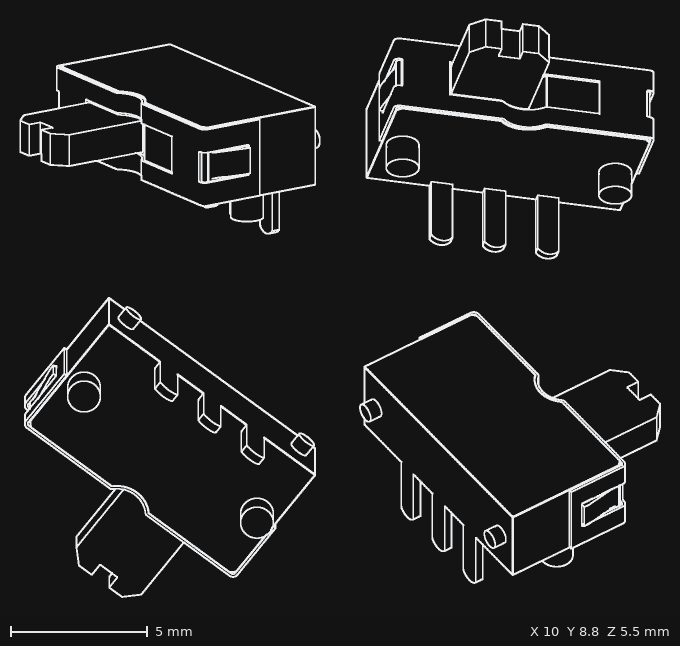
import cadquery as cq


housing_width = 9.56
housing_depth = 4.92
housing_height = 3
housing_corner_chamfer = 0.18
housing_edge_chamfer = 0.02

sheet = 0.11
cover_length = 2.5
cover_height = 2.92
cover_corner_radius = 0.2
cover_bend_radius = 0.12
cover_half_width = housing_width / 2 + sheet
cover_front = housing_depth + sheet

recess_depth = 0.37
recess_radius = 1.05
recess_center_y = recess_depth - cover_front - recess_radius

slot_length = 5.64
slot_height = 1.42

lever_width = 3
lever_thickness = 1.2
lever_tip = 8.32
lever_root = 4.18
lever_x = -1.25
lever_chamfer = 0.5
lever_notch_width = 0.8
lever_notch_depth = 0.5

overall_width = 10
wedge_back = 3.04
wedge_flat = 0.19
wedge_length = 1.52
wedge_height = 0.98
wedge_blend_radius = 0.7
window_gap = 0.03
window_height = 1.16
window_inner_x = 4.6
window_corner_radius = 0.06

pin_x = 4
bottom_pin_diameter = 1.2
bottom_pin_length = 1
bottom_pin_y = -2.5
back_pin_diameter = 0.7
back_pin_length = 0.48
terminal_pitch = 2
terminal_width = 0.8
terminal_thickness = 0.32
terminal_length = 2.5
terminal_tip_height = 0.2


def box(x_min, x_max, y_min, y_max, height):
    """Box between the given X and Y limits, centered on z = 0."""
    return (
        cq.Workplane("XY")
        .box(x_max - x_min, y_max - y_min, height)
        .translate(((x_min + x_max) / 2, (y_min + y_max) / 2, 0))
    )


def recessed_block(half_width, front, back, height, radius):
    """Block with the round recess cut into its front face."""
    block = box(-half_width, half_width, -front, -back, height)
    recess = cq.Workplane("XY").center(0, recess_center_y).circle(radius).extrude(height, both=True)
    return block.cut(recess)


def front_corners(block):
    """Select the two outer vertical edges at the front of a block."""
    return block.edges("|Z").edges("<Y").edges("<X or >X")


def make_housing():
    """Housing block with beveled edges."""
    housing = recessed_block(
        housing_width / 2, housing_depth, 0, housing_height, recess_radius + sheet
    )
    housing = front_corners(housing).chamfer(housing_corner_chamfer)
    return housing.edges().chamfer(housing_edge_chamfer)


def make_window(side):
    """Cutter for the window that wraps around one front corner of the cover."""
    reach = overall_width
    window = box(-reach, -window_inner_x, -reach, window_gap - wedge_back, window_height)
    window = window.edges("|X and >Y").fillet(window_corner_radius)
    window = window.faces(">X").edges("|Y").fillet(window_corner_radius)
    return window if side < 0 else window.mirror("YZ")


def make_cover():
    """Sheet-metal cover that follows the housing front and its recess."""
    back = cover_front - cover_length
    outer = recessed_block(cover_half_width, cover_front, back, cover_height, recess_radius)
    recess_bends = outer.edges("|Z").edges("<Y").edges("not(<X or >X)")
    outer = recess_bends.fillet(cover_bend_radius)
    outer = front_corners(outer).fillet(cover_corner_radius)
    inner = recessed_block(
        housing_width / 2, housing_depth, back, cover_height, recess_radius + sheet
    )
    inner = front_corners(inner).fillet(cover_corner_radius - sheet)
    slot = box(-slot_length / 2, slot_length / 2, -cover_front, -back, slot_height)
    cover = outer.cut(inner).cut(slot)
    for side in (-1, 1):
        cover = cover.cut(make_window(side))
    return cover


def make_lever():
    """Flat lever with chamfered tip corners and a notch in the tip."""
    left = lever_x - lever_width / 2
    right = lever_x + lever_width / 2
    lever = box(left, right, -lever_tip, -lever_root, lever_thickness)
    lever = front_corners(lever).chamfer(lever_chamfer)
    notch = box(
        lever_x - lever_notch_width / 2,
        lever_x + lever_notch_width / 2,
        -lever_tip,
        lever_notch_depth - lever_tip,
        lever_thickness,
    )
    return lever.cut(notch)


def make_wedge(side):
    """Snap wedge: a steep catch at the back, sloping into the housing end at the front."""
    base_x = housing_width / 2
    wedge = (
        cq.Workplane("XY")
        .polyline([
            (-base_x, -wedge_back),
            (-overall_width / 2, -wedge_back),
            (-overall_width / 2, -wedge_back - wedge_flat),
            (-base_x, -wedge_back - wedge_length),
        ])
        .close()
        .extrude(wedge_height / 2, both=True)
    )
    crest = cq.selectors.NearestToPointSelector((-overall_width / 2, -wedge_back - wedge_flat, 0))
    wedge = wedge.edges("|Z").edges(crest).fillet(wedge_blend_radius)
    return wedge if side < 0 else wedge.mirror("YZ")


def make_pins(side):
    """Locating pins below and behind the housing on one side."""
    bottom_pin = (
        cq.Workplane("XY")
        .center(side * pin_x, bottom_pin_y)
        .circle(bottom_pin_diameter / 2)
        .extrude(-housing_height / 2 - bottom_pin_length)
    )
    back_pin = (
        cq.Workplane("XZ")
        .center(side * pin_x, 0)
        .circle(back_pin_diameter / 2)
        .extrude(-back_pin_length)
    )
    return bottom_pin.union(back_pin)


def make_terminal(x):
    """Flat terminal with a rounded lower end, flush with the housing back."""
    bottom = -housing_height / 2 - terminal_length
    half = terminal_width / 2
    return (
        cq.Workplane("XZ")
        .moveTo(x - half, 0)
        .lineTo(x - half, bottom + terminal_tip_height)
        .threePointArc((x, bottom), (x + half, bottom + terminal_tip_height))
        .lineTo(x + half, 0)
        .close()
        .extrude(terminal_thickness)
    )


result = make_housing().union(make_cover()).union(make_lever())
for side in (-1, 1):
    result = result.union(make_wedge(side)).union(make_pins(side))
for index in (-1, 0, 1):
    result = result.union(make_terminal(index * terminal_pitch))